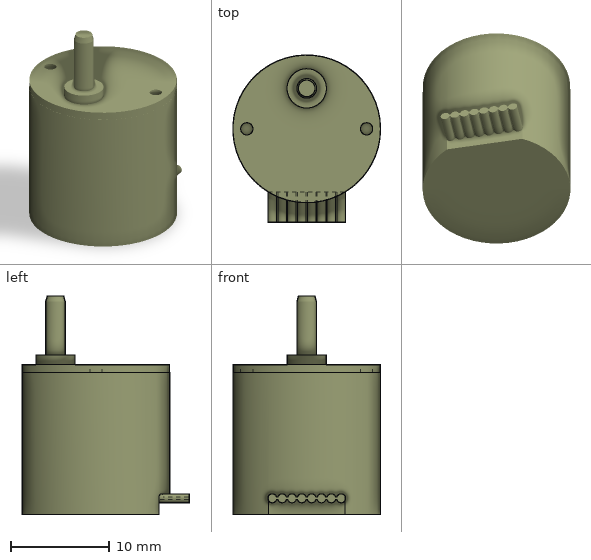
import cadquery as cq

can_diameter = 15.0
lid_diameter = 14.98
lid_thickness = 0.8
can_and_lid_height = 15.2
can_height = can_and_lid_height - lid_thickness

hole_diameter = 1.25
hole_spacing = 12.17

shaft_offset = 4.1
collar_diameter = 4
collar_height = 1.0
shaft_diameter = 2
shaft_top = 22.2
tip_chamfer_height = 0.58
tip_chamfer_inset = 0.15

wire_count = 8
wire_diameter = 0.9
wire_pitch = 1.0
wire_height = 1.65
wire_end = 9.5
flat_distance = 6.42
web_thickness = 0.27
flat_height = wire_height + web_thickness / 2


def make_can():
    can = cq.Workplane("XY").circle(can_diameter / 2).extrude(can_height)
    flat_cut = cq.Workplane("XY").box(
        can_diameter, can_diameter, flat_height, centered=(True, False, False)
    )
    return can.cut(flat_cut.translate((0, -flat_distance - can_diameter, 0)))


def make_lid():
    lid = cq.Workplane("XY", origin=(0, 0, can_height)).circle(lid_diameter / 2).extrude(lid_thickness)
    holes = (
        cq.Workplane("XY", origin=(0, 0, can_height))
        .rarray(hole_spacing, 0.22, 2, 1)
        .circle(hole_diameter / 2)
        .extrude(lid_thickness)
    )
    return lid.cut(holes)


def make_shaft():
    base = cq.Workplane("XY", origin=(0, shaft_offset, can_and_lid_height))
    collar = base.circle(collar_diameter / 2).extrude(collar_height)
    shaft = (
        base.circle(shaft_diameter / 2)
        .extrude(shaft_top - can_and_lid_height)
        .faces(">Z")
        .edges()
        .chamfer(tip_chamfer_height, tip_chamfer_inset)
    )
    return collar.union(shaft)


def make_wires():
    wire_length = wire_end - flat_distance
    base = cq.Workplane("XZ", origin=(0, -flat_distance, wire_height))
    wires = base.rarray(wire_pitch, 0.22, wire_count, 1).circle(wire_diameter / 2).extrude(wire_length)
    web = base.rect(wire_pitch * (wire_count - 1), web_thickness).extrude(wire_length)
    return wires.union(web)


result = make_can().union(make_lid()).union(make_shaft()).union(make_wires())